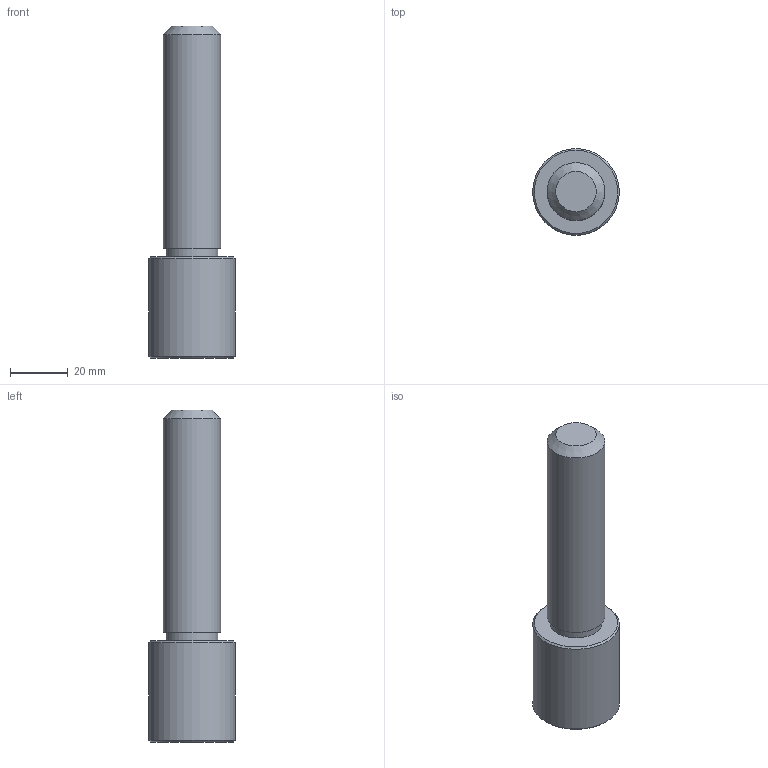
import cadquery as cq

total_length = 115.0
head_diameter = 30.0
head_length = 35.0
head_chamfer = 0.6
neck_diameter = 18.0
neck_length = 3.0
shank_diameter = 20.0
tip_chamfer = 3.0

shank_length = total_length - head_length - neck_length


def cylinder(diameter, length, base_z):
    """Upright cylinder on the Z axis, standing on base_z."""
    return cq.Workplane("XY").workplane(offset=base_z).circle(diameter / 2).extrude(length)


def make_head():
    """Plain round head with both rims lightly chamfered."""
    return cylinder(head_diameter, head_length, 0).edges().chamfer(head_chamfer)


def make_neck():
    """Relief groove between the head and the shank."""
    return cylinder(neck_diameter, neck_length, head_length)


def make_shank():
    """Long shank with a chamfered tip."""
    shank = cylinder(shank_diameter, shank_length, head_length + neck_length)
    return shank.faces(">Z").edges().chamfer(tip_chamfer)


result = make_head().union(make_neck()).union(make_shank())